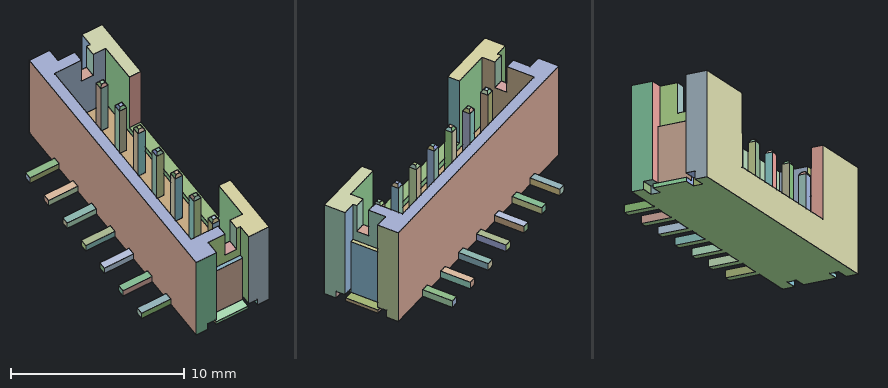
import cadquery as cq

LENGTH = 17.95
DEPTH = 5.0
HEIGHT = 6.6
REAR = DEPTH / 2
FRONT = -DEPTH / 2
BASE = 0.0

CAVITY_LENGTH = 14.7
FRONT_WALL = 0.7
REAR_WALL = 0.8
RAISED_FLOOR = 1.6
LOW_FLOOR = 1.0
SLOPE_TOP_Y = 0.05
SLOPE_FOOT_Y = SLOPE_TOP_Y - (RAISED_FLOOR - LOW_FLOOR)

WINDOW_LENGTH = 9.6
WINDOW_SILL = 2.0

NOTCH_WIDTH = 2.2
NOTCH_DEPTH = 0.9
KEY_SLOT_REAR = 0.85
KEY_SLOT_WIDTH = 0.8
KEY_SLOT_DEPTH = 1.9
RELIEF_WIDTH = 3.4
RELIEF_HEIGHT = 0.5

TAB_THICKNESS = 0.25
TAB_HEIGHT = 4.0
TAB_FOOT_THICKNESS = 0.25
TAB_SETBACK = 0.05

PIN_COUNT = 7
PITCH = 2.0
PIN_SIZE = 0.5
PIN_Y = 0.6
PIN_TOP = 5.65
TIP_HEIGHT = 0.2
TIP_INSET = 0.125
LEAD_LENGTH = 2.0


def box(x_min, x_max, y_min, y_max, z_min, z_max):
    """Axis-aligned block given by its limits."""
    block = cq.Workplane("XY").box(x_max - x_min, y_max - y_min, z_max - z_min, centered=False)
    return block.translate((x_min, y_min, z_min))


def centered_box(length, y_min, y_max, z_min, z_max):
    """Axis-aligned block symmetric about the YZ plane."""
    return box(-length / 2, length / 2, y_min, y_max, z_min, z_max)


def make_cavity():
    """Open-topped cavity with a sloped step in its floor."""
    profile = [
        (FRONT + FRONT_WALL, HEIGHT),
        (FRONT + FRONT_WALL, LOW_FLOOR),
        (SLOPE_FOOT_Y, LOW_FLOOR),
        (SLOPE_TOP_Y, RAISED_FLOOR),
        (REAR - REAR_WALL, RAISED_FLOOR),
        (REAR - REAR_WALL, HEIGHT),
    ]
    return cq.Workplane("YZ").polyline(profile).close().extrude(CAVITY_LENGTH / 2, both=True)


def make_end_cut():
    """Outer notch, key slot and bottom relief of the +X end wall."""
    outer = LENGTH / 2
    notch_floor = outer - NOTCH_DEPTH
    notch = box(notch_floor, outer, -NOTCH_WIDTH / 2, NOTCH_WIDTH / 2, BASE, HEIGHT)
    relief = box(notch_floor, outer, -RELIEF_WIDTH / 2, RELIEF_WIDTH / 2, BASE, RELIEF_HEIGHT)
    key_slot = box(
        CAVITY_LENGTH / 2,
        outer,
        KEY_SLOT_REAR - KEY_SLOT_WIDTH,
        KEY_SLOT_REAR,
        HEIGHT - KEY_SLOT_DEPTH,
        HEIGHT,
    )
    return notch.union(relief).union(key_slot)


def make_tab():
    """Solder tab on the +X end: a plate against the notch floor with a foot turned outward."""
    inner = LENGTH / 2 - NOTCH_DEPTH
    half_width = NOTCH_WIDTH / 2
    plate = box(inner, inner + TAB_THICKNESS, -half_width, half_width, BASE, TAB_HEIGHT)
    foot = box(inner, LENGTH / 2 - TAB_SETBACK, -half_width, half_width, BASE, TAB_FOOT_THICKNESS)
    return plate.union(foot)


def make_contact(x):
    """Upright pin with a tapered tip, joined to a lead that leaves through the front wall."""
    shoulder = PIN_TOP - TIP_HEIGHT
    half_size = PIN_SIZE / 2
    tip_size = PIN_SIZE - 2 * TIP_INSET
    pin_rear = PIN_Y + half_size
    post = box(x - half_size, x + half_size, PIN_Y - half_size, pin_rear, BASE, shoulder)
    tip = (
        cq.Workplane("XY", origin=(x, PIN_Y, shoulder))
        .rect(PIN_SIZE, PIN_SIZE)
        .workplane(offset=TIP_HEIGHT)
        .rect(tip_size, tip_size)
        .loft(ruled=True)
    )
    lead_end = FRONT - LEAD_LENGTH
    lead = box(x - half_size, x + half_size, lead_end, pin_rear, BASE, BASE + PIN_SIZE)
    return post.union(tip).union(lead)


housing = centered_box(LENGTH, FRONT, REAR, BASE, HEIGHT)
housing = housing.cut(make_cavity())
housing = housing.cut(
    centered_box(WINDOW_LENGTH, REAR - REAR_WALL, REAR, WINDOW_SILL, HEIGHT)
)

end_cut = make_end_cut()
tab = make_tab()
housing = housing.cut(end_cut).cut(end_cut.mirror("YZ"))
result = housing.union(tab).union(tab.mirror("YZ"))

for index in range(PIN_COUNT):
    result = result.union(make_contact((index - (PIN_COUNT - 1) / 2) * PITCH))